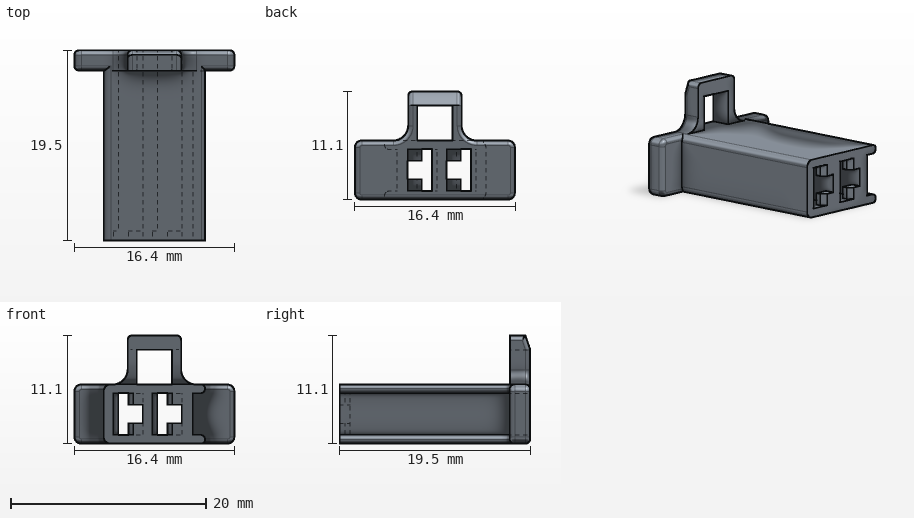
import cadquery as cq

length = 19.5
flange_width = 16.4
height = 6.06
total_height = 11.1
body_width = 10.37
flange_thickness = 2.09
flange_corner_radius = 0.72
edge_radius = 0.49

wall = 0.9
left_corner_radius = 0.7
channel_floor_x = 3.92
lip_outer_radius = 0.4
lip_inner_radius = 0.47

loop_width = 5.5
loop_window_width = 3.59
loop_window_top = 9.6
loop_corner_radius = 0.5
loop_root_radius = 1.52
loop_slope_depth = 0.49
loop_slope_height = 1.42

cavity_pitch = 4.0
first_cavity_left = -4.2
mouth_width = 2.03
passage_inset = 0.5
passage_width = 2.48
notch_height = 1.87
post_length = 1.03
post_chamfer = 0.5

margin = 0.02

flange_front = -flange_thickness
body_right = body_width / 2
mid_height = height / 2


def block(x_min, x_max, y_min, y_max, z_min, z_max):
    """Axis-aligned box given by its limits."""
    size = (x_max - x_min, y_max - y_min, z_max - z_min)
    return cq.Workplane("XY").box(*size, centered=False).translate((x_min, y_min, z_min))


def make_flange():
    """Rear plate with rounded corners and rounded front and rear edges."""
    plate = block(-flange_width / 2, flange_width / 2, flange_front, 0, 0, height)
    plate = plate.edges("|Y").fillet(flange_corner_radius)
    return plate.faces("<Y or >Y").edges().fillet(edge_radius)


def make_loop():
    """Latch loop with flared roots, a sloped top and rounded rear sides, before its window is cut."""
    half = loop_width / 2
    root_x = half + loop_root_radius
    root_top = height + loop_root_radius
    root_mid = loop_root_radius * (1 - 0.5 ** 0.5)
    profile = (
        cq.Workplane("XZ")
        .moveTo(-root_x, mid_height)
        .lineTo(-root_x, height)
        .threePointArc((-half - root_mid, height + root_mid), (-half, root_top))
        .lineTo(-half, total_height)
        .lineTo(half, total_height)
        .lineTo(half, root_top)
        .threePointArc((half + root_mid, height + root_mid), (root_x, height))
        .lineTo(root_x, mid_height)
        .close()
    )
    plain_loop = profile.extrude(flange_thickness)
    rounded_loop = plain_loop.edges("|Y and >Z").fillet(loop_corner_radius)

    sloped_loop = plain_loop.cut(make_loop_slope())
    for side in (-1, 1):
        side_edges = cq.selectors.BoxSelector(
            (side * half / 2, -loop_slope_depth, height + margin),
            (side * (root_x - margin), margin, total_height - margin),
        )
        sloped_loop = sloped_loop.edges("not |Y").edges(side_edges).fillet(edge_radius)
    return sloped_loop.intersect(rounded_loop)


def make_loop_slope():
    """Wedge removed from the upper rear of the loop."""
    return (
        cq.Workplane("YZ")
        .moveTo(0, total_height - loop_slope_height)
        .lineTo(0, total_height)
        .lineTo(-loop_slope_depth, total_height)
        .close()
        .extrude(loop_width, both=True)
    )


def make_body():
    """Long housing with rounded edges and the side channel in front of the flange."""
    body = block(-body_right, body_right, -length, flange_front / 2, 0, height)
    body = body.edges("|Y and <X").fillet(left_corner_radius)
    body = body.edges("|Y and >X").fillet(lip_outer_radius)
    channel = block(channel_floor_x, body_right, -length, flange_front, wall, height - wall)
    body = body.cut(channel)
    lip_edges = cq.selectors.BoxSelector(
        (body_right - margin, -length, wall - margin),
        (body_right + margin, flange_front, height - wall + margin),
    )
    return body.edges("|Y").edges(lip_edges).fillet(lip_inner_radius)


def make_cavity(left):
    """Wide mouth with a notch between two chamfered posts, then the passage to the rear."""
    post_end = -length + post_length
    mouth_right = left + mouth_width
    post_left = mouth_right - post_chamfer
    passage_left = left + passage_inset
    passage_right = passage_left + passage_width
    mouth = (
        cq.Workplane("XY", origin=(0, 0, wall))
        .moveTo(left, -length)
        .lineTo(mouth_right, -length)
        .lineTo(post_left, -length + post_chamfer)
        .lineTo(post_left, post_end)
        .lineTo(left, post_end)
        .close()
        .extrude(height - 2 * wall)
    )
    notch = block(
        left, passage_right, -length, post_end, mid_height - notch_height / 2, mid_height + notch_height / 2
    )
    passage = block(passage_left, passage_right, post_end, 0, wall, height - wall)
    return mouth.union(notch).union(passage)


rear = make_flange().union(make_loop())

half_window = loop_window_width / 2
rear = rear.cut(block(-half_window, half_window, flange_front, 0, height, loop_window_top))

result = rear.union(make_body())
for index in range(2):
    result = result.cut(make_cavity(first_cavity_left + index * cavity_pitch))